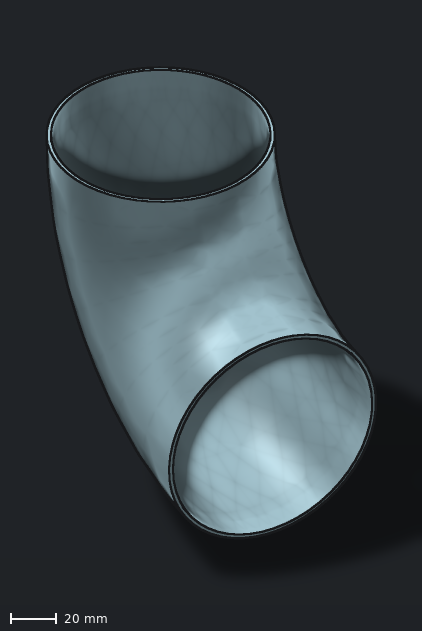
import cadquery as cq
import math

bend_radius = 100.0
top_diameter = 100.0
side_diameter = 104.0
wall = 2.0

arc_middle = bend_radius * (1 - math.cos(math.radians(45)))
centreline = (
    cq.Workplane("XZ")
    .moveTo(0, bend_radius)
    .threePointArc((arc_middle, arc_middle), (bend_radius, 0))
)
top_plane = cq.Plane(origin=(0, 0, bend_radius), xDir=(1, 0, 0), normal=(0, 0, -1))
side_plane = cq.Plane(origin=(bend_radius, 0, 0), xDir=(0, 0, 1), normal=(1, 0, 0))


def widening_bend(top_radius, side_radius):
    """Solid bend whose round section grows from the top opening to the side opening."""
    top_circle = cq.Workplane(top_plane).circle(top_radius).val()
    side_circle = cq.Workplane(side_plane).circle(side_radius).val()
    return cq.Workplane(cq.Solid.sweep_multi([top_circle, side_circle], centreline.val()))


outside = widening_bend(top_diameter / 2, side_diameter / 2)
bore = widening_bend(top_diameter / 2 - wall, side_diameter / 2 - wall)

result = outside.cut(bore)